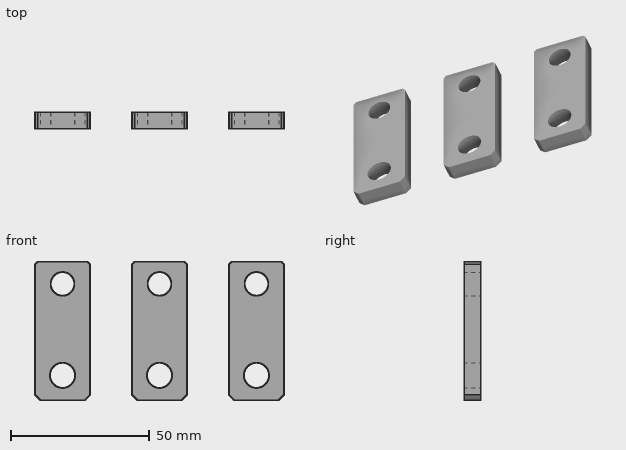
import cadquery as cq

overall_length = 90.0
plate_width = 20.0
plate_thickness = 6.0
plate_height = 50.0
plate_count = 3
plate_pitch = (overall_length - plate_width) / (plate_count - 1)

top_chamfer = 1.0
bottom_chamfer = 2.0

top_hole_diameter = 8.5
top_hole_edge_distance = 8.0
bottom_hole_diameter = 9.0
bottom_hole_edge_distance = 9.0


def make_hole_cutter(diameter, height):
    """Cylinder along Y that passes through the plate at the given height."""
    return (
        cq.Workplane("XZ", origin=(0, plate_thickness / 2, height))
        .circle(diameter / 2)
        .extrude(plate_thickness)
    )


def make_plate(center_x):
    """Upright plate standing on Z = 0, with chamfered corners and two holes."""
    plate = cq.Workplane("XY").box(
        plate_width, plate_thickness, plate_height, centered=(True, True, False)
    )
    plate = plate.faces(">Z").edges("|Y").chamfer(top_chamfer)
    plate = plate.faces("<Z").edges("|Y").chamfer(bottom_chamfer)
    plate = plate.cut(make_hole_cutter(top_hole_diameter, plate_height - top_hole_edge_distance))
    plate = plate.cut(make_hole_cutter(bottom_hole_diameter, bottom_hole_edge_distance))
    return plate.translate((center_x, 0, 0))


first_plate_x = (plate_width - overall_length) / 2
plates = [make_plate(first_plate_x + index * plate_pitch) for index in range(plate_count)]

result = cq.Compound.makeCompound([plate.val() for plate in plates])